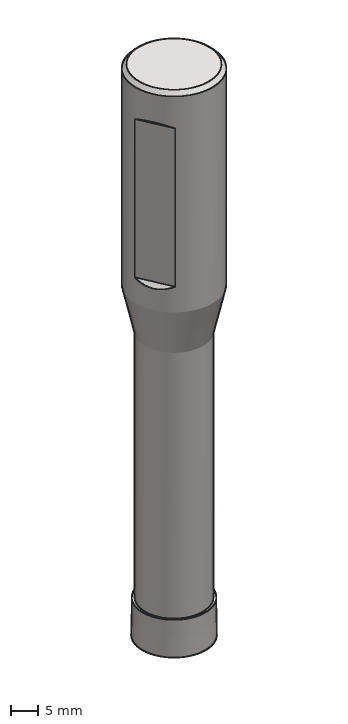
import cadquery as cq

total_height = 126.5

tip_cutting_diameter = 15.7
tip_back_diameter = 15.4
point_height = 2.9
tip_band_height = 8.1
tip_top = point_height + tip_band_height

neck_diameter = 14.4
grip_diameter = 19.1
taper_bottom = 68.5
taper_top = 78.8
top_chamfer = 0.9

flat_depth = 0.9
flat_bottom = 84.4
flat_top = 118.7

grip_radius = grip_diameter / 2
neck_radius = neck_diameter / 2
tip_cutting_radius = tip_cutting_diameter / 2
tip_back_radius = tip_back_diameter / 2


def make_tip():
    """Cutting tip with a shallow conical point and a slight back taper."""
    return (
        cq.Workplane("XZ")
        .moveTo(0, 0)
        .lineTo(tip_cutting_radius, point_height)
        .lineTo(tip_back_radius, tip_top)
        .lineTo(0, tip_top)
        .close()
        .revolve(360, (0, 0), (0, 1))
    )


def make_flat_cutter():
    """Prism across the grip that cuts the flat and its sloping end walls."""
    floor_y = flat_depth - grip_radius
    cutter_height = 2 * flat_depth
    outer_y = floor_y - cutter_height
    return (
        cq.Workplane("YZ")
        .moveTo(floor_y, flat_bottom)
        .lineTo(floor_y, flat_top)
        .lineTo(outer_y, flat_top + cutter_height)
        .lineTo(outer_y, flat_bottom - cutter_height)
        .close()
        .extrude(grip_radius, both=True)
    )


def make_shank():
    """Narrow neck that tapers out to a chamfered grip with one flat."""
    turned = (
        cq.Workplane("XZ")
        .moveTo(0, tip_top)
        .lineTo(neck_radius, tip_top)
        .lineTo(neck_radius, taper_bottom)
        .lineTo(grip_radius, taper_top)
        .lineTo(grip_radius, total_height - top_chamfer)
        .lineTo(grip_radius - top_chamfer, total_height)
        .lineTo(0, total_height)
        .close()
        .revolve(360, (0, 0), (0, 1))
    )
    return turned.cut(make_flat_cutter())


tip = make_tip()
shank = make_shank()

result = cq.Compound.makeCompound([tip.val(), shank.val()])